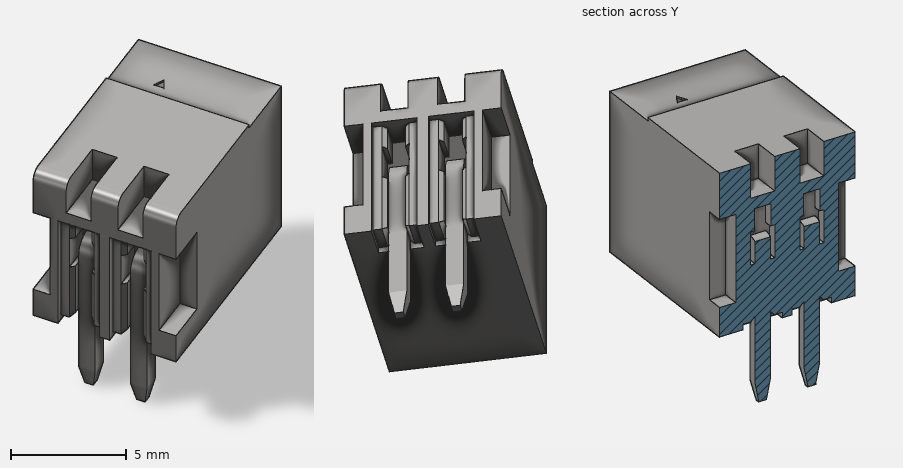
import cadquery as cq


width = 6.9
depth = 10.1
height = 8.1
overall_height = 11.9
top_edge_radius = 0.5
step_length = 3.09
step_drop = 0.17

pin_pitch = 2.5
pin_size = 0.8
pin_drop = overall_height - height
pin_inset = 0.8
pin_bend_top = 4.31
tip_length = 0.98
tip_size = 0.4

top_slot_width = 1.2
top_slot_depth = 1.7
top_slot_length = 2.5

notch_width = 0.82
notch_length = 2.0
notch_bottom = 1.48
notch_top = 5.81

recess_width = 2.0
recess_top = notch_top
recess_depth = 0.3
underside_step = 0.27
channel_width = pin_size
channel_back = pin_inset + pin_size
lead_in = 0.2
relief_width = channel_width + 2 * lead_in
relief_margin = 0.4

mark_size = 0.5
mark_base_y = depth - 2.4
mark_depth = 0.1

pin_positions = [-pin_pitch / 2, pin_pitch / 2]


def block(x_range, y_range, z_range):
    """Box given by its low and high limits along each axis."""
    (x0, x1), (y0, y1), (z0, z1) = x_range, y_range, z_range
    return cq.Workplane("XY").box(x1 - x0, y1 - y0, z1 - z0, centered=False).translate((x0, y0, z0))


def centred_block(x, block_width, y_range, z_range):
    """Box centred on x."""
    return block((x - block_width / 2, x + block_width / 2), y_range, z_range)


def housing_blank():
    """Block with a lowered front part of the top and a rounded pin-side top edge."""
    return (
        cq.Workplane("YZ")
        .moveTo(0, 0)
        .lineTo(depth, 0)
        .lineTo(depth, height - step_drop)
        .lineTo(depth - step_length, height - step_drop)
        .lineTo(depth - step_length, height)
        .lineTo(top_edge_radius, height)
        .radiusArc((0, height - top_edge_radius), -top_edge_radius)
        .close()
        .extrude(width / 2, both=True)
    )


def side_notch(side):
    """Notch in the wall on the given side, -1 or +1, open to the pin-side face."""
    wall_x = side * width / 2
    centre_x = wall_x - side * notch_width / 2
    return centred_block(centre_x, notch_width, (0, notch_length), (notch_bottom, notch_top))


def top_slot(x):
    return centred_block(x, top_slot_width, (0, top_slot_length), (height - top_slot_depth, height))


def pin_recess(x):
    """Shallow recess, pin channel with bevelled mouths, and clearance around the pin bend."""
    face_recess = centred_block(x, recess_width, (0, recess_depth), (0, recess_top))
    bottom_recess = centred_block(x, recess_width, (0, channel_back), (0, underside_step))
    channel = centred_block(x, channel_width, (0, channel_back), (0, recess_top))
    relief = centred_block(
        x,
        relief_width,
        (0, channel_back),
        (pin_bend_top - pin_size - relief_margin, pin_bend_top + relief_margin),
    )
    mouth = [
        (x - relief_width / 2, 0),
        (x + relief_width / 2, 0),
        (x + channel_width / 2, lead_in),
        (x - channel_width / 2, lead_in),
    ]
    face_mouth = cq.Workplane("XY").polyline(mouth).close().extrude(recess_top)
    face_mouth = face_mouth.translate((0, recess_depth, 0))
    bottom_mouth = cq.Workplane("XZ").polyline(mouth).close().extrude(-channel_back)
    bottom_mouth = bottom_mouth.translate((0, 0, underside_step))
    return face_recess.union(bottom_recess).union(channel).union(relief).union(face_mouth).union(bottom_mouth)


def pin_mark(x):
    """Triangle sunk into the lowered part of the top, pointing away from the pins."""
    return (
        cq.Workplane("XY", origin=(x, mark_base_y, height - step_drop))
        .polyline([(-mark_size / 2, 0), (mark_size / 2, 0), (0, mark_size)])
        .close()
        .extrude(-mark_depth)
    )


def pin(x):
    """Square pin with a rounded bend into the housing and a tapered tip."""
    centre_y = pin_inset + pin_size / 2
    bend_bottom = pin_bend_top - pin_size
    shank_bottom = tip_length - pin_drop
    shank = (
        cq.Workplane("YZ", origin=(x, 0, 0))
        .moveTo(pin_inset, shank_bottom)
        .lineTo(channel_back, shank_bottom)
        .lineTo(channel_back, pin_bend_top)
        .radiusArc((pin_inset, bend_bottom), -pin_size)
        .close()
        .extrude(pin_size / 2, both=True)
    )
    tip = (
        cq.Workplane("XY", origin=(x, centre_y, shank_bottom))
        .rect(pin_size, pin_size)
        .workplane(offset=-tip_length)
        .rect(tip_size, tip_size)
        .loft(ruled=True)
    )
    return shank.union(tip)


result = housing_blank()
for side in (-1, 1):
    result = result.cut(side_notch(side))
for pin_x in pin_positions:
    result = result.cut(top_slot(pin_x)).cut(pin_recess(pin_x))
result = result.cut(pin_mark(pin_positions[0]))
for pin_x in pin_positions:
    result = result.union(pin(pin_x))